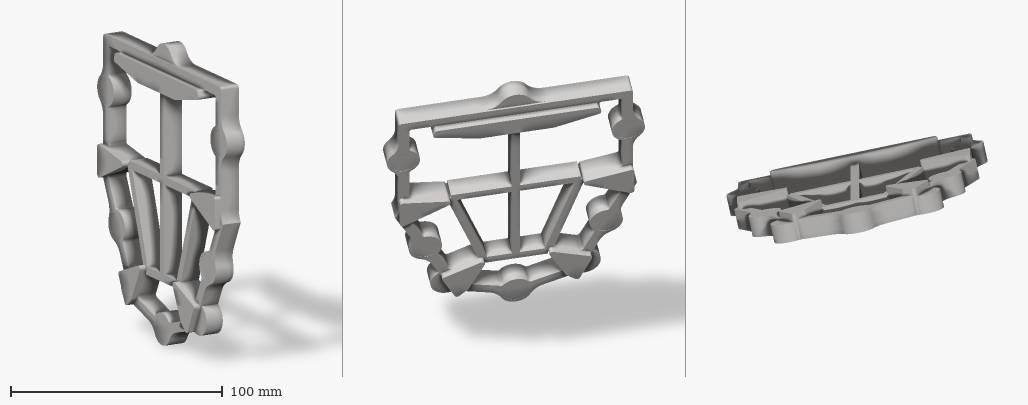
import cadquery as cq
import math


frame_depth = 9.7
pad_height = 3.2
low_boss_setback = 0.9
recess_depth = 0.1

height = 147.5
boss_radius = 8.0
recess_radius = 6.5
flare_radius = 10.0
rail_width = 5.0
corner_radius = 1.5
half_width = 56.3
frame_top = height - boss_radius
top_corner = (half_width, frame_top)
shoulder = (half_width, 68.7)
foot = (30.2, 14.5)
keel = (0, 5.3)
flank_tilt = math.atan2(shoulder[0] - foot[0], shoulder[1] - foot[1])

side_boss = (54.1, 112.1)
flank_boss = (43.5, 48.1)
keel_boss = (0, boss_radius)
crown_boss = (0, frame_top)
foot_boss = (33.0, 20.5)

bar_width = 4.0
upper_bar_z = 81.1
lower_bar_z = 33.0
strut_top = (31.3, upper_bar_z)
strut_bottom = (15.3, lower_bar_z)

rail_underside = frame_top - rail_width
top_pad_half = [(17.8, 124.8), (41.0, 130.2), (39.2, rail_underside)]
shoulder_pad = [shoulder, (half_width, 86.3), (28.6, 82.0)]
foot_pad = [(36.6, 27.9), (14.0, 36.7), (23.6, 17.4), (29.4, 12.4)]

lug_top = (half_width, 78.8)
lug_tip = (58.3, 72.7)


def mirrored(points):
    return [(-x, z) for x, z in reversed(points)]


def front_plane(front):
    return cq.Workplane("XZ", origin=(0, front, 0))


def prism(points, front=0.0, back=frame_depth):
    """Closed XZ outline extruded from Y = front to Y = back."""
    return front_plane(front).polyline(points).close().extrude(front - back)


def rounded_prism(points, front=0.0, back=frame_depth):
    return prism(points, front, back).edges("|Y").fillet(corner_radius)


def disc(center, radius, front=0.0, back=frame_depth):
    return front_plane(front).center(*center).circle(radius).extrude(front - back)


def both_sides(solid):
    return solid.union(solid.mirror("YZ"))


def flare(boss, edge_start, edge_end, outward_sign, front=0.0):
    """Concave blend between a boss and a straight outer edge.

    It lies on the edge_end side of the boss; outward_sign is 1 where the
    outside is on the left when walking from edge_start to edge_end, else -1.
    """
    center = cq.Vector(*boss)
    start = cq.Vector(*edge_start)
    along = (cq.Vector(*edge_end) - start).normalized()
    outward = cq.Vector(-along.y, along.x) * outward_sign
    edge_offset = (start - center).dot(outward)
    reach = math.sqrt((flare_radius + boss_radius) ** 2 - (flare_radius + edge_offset) ** 2)
    tangent_point = center + outward * edge_offset + along * reach
    arc_center = tangent_point + outward * flare_radius
    towards_boss = (center - arc_center).normalized()
    touch_point = arc_center + towards_boss * flare_radius
    arc_middle = arc_center + (towards_boss - outward).normalized() * flare_radius
    return (
        front_plane(front)
        .moveTo(center.x, center.y)
        .lineTo(tangent_point.x, tangent_point.y)
        .threePointArc((arc_middle.x, arc_middle.y), (touch_point.x, touch_point.y))
        .close()
        .extrude(front - frame_depth)
    )


def bar(start, end):
    """Straight bar of the inner lattice between two centre points."""
    length = math.dist(start, end)
    angle = math.degrees(math.atan2(end[1] - start[1], end[0] - start[0]))
    middle = ((start[0] + end[0]) / 2, (start[1] + end[1]) / 2)
    block = cq.Workplane("XY").box(length, frame_depth, bar_width)
    turned = block.rotate((0, 0, 0), (0, 1, 0), -angle)
    return turned.translate((middle[0], frame_depth / 2, middle[1]))


half_outline = [keel, foot, shoulder, top_corner]
outline = half_outline + mirrored(half_outline[1:])
top_pad = top_pad_half + mirrored(top_pad_half)

body = prism(outline).edges("|Y and >Z").fillet(corner_radius)
bosses = both_sides(disc(side_boss, boss_radius).union(disc(flank_boss, boss_radius)))
bosses = bosses.union(disc(keel_boss, boss_radius))
body = body.union(bosses)
blends = [
    flare(side_boss, shoulder, top_corner, -1),
    flare(side_boss, top_corner, shoulder, 1),
    flare(flank_boss, foot, shoulder, -1),
    flare(flank_boss, shoulder, foot, 1),
    flare(keel_boss, keel, foot, -1),
]
for blend in blends:
    body = body.union(blend).union(blend.mirror("YZ"))

body = body.union(both_sides(rounded_prism(foot_pad)))

lug_rise = lug_top[1] - lug_tip[1]
lug_bend = (half_width + (lug_tip[0] - half_width) / 4, lug_top[1] - lug_rise / 2)
lug = (
    front_plane(0)
    .moveTo(*lug_top)
    .threePointArc(lug_bend, lug_tip)
    .lineTo(*shoulder)
    .close()
    .extrude(-frame_depth)
)
body = body.union(both_sides(lug))

opening = front_plane(0).polyline(outline).close().offset2D(-rail_width, "intersection")
opening = opening.extrude(-frame_depth).cut(bosses).cut(prism(top_pad))
for pad in (shoulder_pad, foot_pad):
    opening = opening.cut(both_sides(prism(pad)))

bend_z = shoulder[1] + rail_width * math.tan(flank_tilt / 2)
bends = cq.selectors.BoxSelector(
    (-half_width, -1.5, bend_z - 0.3), (half_width, frame_depth + 1.5, bend_z + 0.3)
)
opening = opening.edges(cq.selectors.StringSyntaxSelector("|Y") - bends).fillet(corner_radius)
body = body.cut(opening)

body = body.union(bar((0, lower_bar_z), (0, rail_underside)))
for x, z in (strut_top, strut_bottom):
    body = body.union(bar((-x, z), (x, z)))
body = body.union(both_sides(bar(strut_bottom, strut_top)))

low_crown = both_sides(flare(crown_boss, (0, frame_top), top_corner, 1, low_boss_setback))
low_crown = low_crown.union(disc(crown_boss, boss_radius, low_boss_setback))
low_foot = disc(foot_boss, boss_radius, low_boss_setback)
low_foot = low_foot.union(flare(foot_boss, foot, keel, -1, low_boss_setback))
body = body.union(low_crown).union(both_sides(low_foot))

for pad in (shoulder_pad, foot_pad):
    body = body.union(both_sides(rounded_prism(pad, -pad_height, 0)))
body = body.union(rounded_prism(top_pad, -pad_height, 0))

for x, z in (side_boss, flank_boss, keel_boss):
    for side in (-1, 1):
        body = body.cut(disc((side * x, z), recess_radius, 0, recess_depth))

result = body